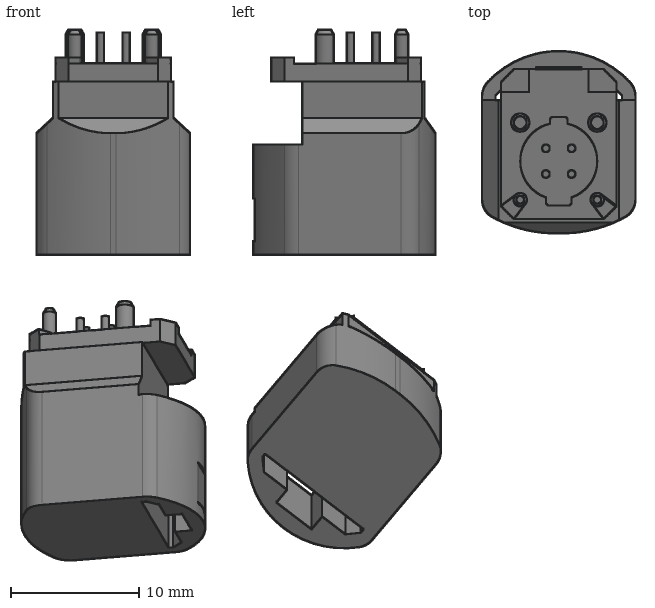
import cadquery as cq
import math


shelf_top = 8.62
bevel_bottom = 9.5
bevel_top = 10.7
block_top = 13.53
plate_top = 14.95
pad_top = 15.44
insert_top = plate_top + 0.05
pin_top = 17.39
post_top = 17.6

half_width = 6.0
back_y = 8.6
front_y = -5.65
back_radius = 7.57
front_radius = 10.2
front_flat_half = 0.23
corner_radius = 1.6

block_half_width = 4.72
block_front_y = -4.8
block_rear_y = 4.77

opening_half_width = 4.93
opening_back_y = 5.98
opening_chamfer = 0.85
notch_half_width = 1.76
notch_back_y = 7.32

recess_bottom = 1.07
recess_top = 4.4
recess_depth = 0.12

plate_half_width = 4.52
plate_front_y = -4.52
plate_back_y = 7.18
plate_chamfer = 1.02
rear_pad_inner_x = 2.32
rear_pad_front_y = 5.39
front_pad_slope_run = 0.07

insert_radius = 3.01
back_key_half_width = 0.69
front_key_half_width = 0.99
key_reach = 3.45
key_chamfer = 0.14

pin_diameter = 0.6
pin_offset = 1.0
post_offset = 3.01
rear_post_diameter = 1.43
front_post_diameter = 1.04
post_tip_inset = 0.21
post_tip_height = 0.39

SIDES = (-1, 1)
MARGIN = 1.76


def box(x0, x1, y0, y1, z0, z1):
    """Axis-aligned box given by its limits."""
    return cq.Workplane("XY").box(x1 - x0, y1 - y0, z1 - z0, centered=False).translate((x0, y0, z0))


def arc_drop(radius, distance):
    """Fall of an arc at a distance from its crown."""
    return radius - math.sqrt(radius**2 - distance**2)


def make_outer_body():
    """Housing outline raised to the block top, with rounded vertical corners."""
    front_run = half_width - front_flat_half
    front_corner_y = front_y + arc_drop(front_radius, front_run)
    front_mid_x = front_flat_half + front_run / 2
    front_mid_y = front_y + arc_drop(front_radius, front_run / 2)
    back_corner_y = back_y - arc_drop(back_radius, half_width)
    body = (
        cq.Workplane("XY")
        .moveTo(-front_flat_half, front_y)
        .lineTo(front_flat_half, front_y)
        .threePointArc((front_mid_x, front_mid_y), (half_width, front_corner_y))
        .lineTo(half_width, back_corner_y)
        .threePointArc((0, back_y), (-half_width, back_corner_y))
        .lineTo(-half_width, front_corner_y)
        .threePointArc((-front_mid_x, front_mid_y), (-front_flat_half, front_y))
        .close()
        .extrude(block_top)
    )
    return body.edges("|Z and (<X or >X)").fillet(corner_radius)


def bevel_section(plane, outer, inner):
    """Region outside the block and above the bevel, drawn across that bevel."""
    outside = outer + math.copysign(MARGIN, outer)
    return (
        cq.Workplane(plane)
        .moveTo(outer, bevel_bottom)
        .lineTo(inner, bevel_top)
        .lineTo(inner, block_top + MARGIN)
        .lineTo(outside, block_top + MARGIN)
        .lineTo(outside, bevel_bottom)
        .close()
    )


def make_opening():
    """Chamfered through opening with a notch in its back wall."""
    opening = box(-opening_half_width, opening_half_width, block_rear_y, opening_back_y, 0, shelf_top)
    opening = opening.edges("|Z and >Y").chamfer(opening_chamfer)
    notch = box(-notch_half_width, notch_half_width, block_rear_y, notch_back_y, 0, shelf_top)
    return opening.union(notch)


def make_housing():
    housing = make_outer_body()
    for side in SIDES:
        side_cut = bevel_section("XZ", side * half_width, side * block_half_width)
        housing = housing.cut(side_cut.extrude(back_y + MARGIN, both=True))
    front_cut = bevel_section("YZ", front_y, block_front_y)
    housing = housing.cut(front_cut.extrude(half_width + MARGIN, both=True))
    housing = housing.cut(
        box(-half_width, half_width, block_rear_y, back_y, shelf_top, block_top)
    )
    housing = housing.cut(make_opening())
    return housing.cut(
        box(-half_width, half_width, back_y - recess_depth, back_y, recess_bottom, recess_top)
    )


def make_plate_outline(top):
    """Chamfered plate outline from the block top up to the given height."""
    plate = box(-plate_half_width, plate_half_width, plate_front_y, plate_back_y, block_top, top)
    return plate.edges("|Z").chamfer(plate_chamfer)


def make_front_pad(side):
    """Pad tapering from the chamfered plate corner to the front post."""
    reach = front_post_diameter / 2 * math.sqrt(0.5)
    points = [
        (side * plate_half_width, plate_front_y + plate_chamfer),
        (side * (plate_half_width - plate_chamfer), plate_front_y),
        (side * (post_offset - reach), -post_offset - reach),
        (side * (post_offset + reach), -post_offset + reach),
    ]
    return cq.Workplane("XY").workplane(offset=block_top).polyline(points).close().extrude(pad_top - block_top)


def slope_rear_side(pad):
    """Lean the rear side of the +X front pad inward over its height above the plate."""
    middle_x = (plate_half_width + post_offset) / 2
    rear_edge = cq.NearestToPointSelector((middle_x, -post_offset, pad_top))
    return pad.faces(">Z").edges(rear_edge).chamfer(pad_top - plate_top, front_pad_slope_run)


def make_plate():
    plate = make_plate_outline(plate_top)
    full_height = make_plate_outline(pad_top)
    for side in SIDES:
        x0, x1 = sorted((side * rear_pad_inner_x, side * plate_half_width))
        rear_zone = box(x0, x1, rear_pad_front_y, plate_back_y, block_top, pad_top)
        plate = plate.union(full_height.intersect(rear_zone))
    plate = plate.union(make_front_pad(-1))
    return plate.union(slope_rear_side(make_front_pad(1)))


def make_insert():
    """Round insert with one key at the back and a wider one at the front."""
    insert = cylinder(0, 0, 2 * insert_radius, insert_top)
    back_key = box(-back_key_half_width, back_key_half_width, 0, key_reach, block_top, insert_top)
    front_key = box(-front_key_half_width, front_key_half_width, -key_reach, 0, block_top, insert_top)
    insert = insert.union(back_key.edges("|Z and >Y").chamfer(key_chamfer))
    return insert.union(front_key.edges("|Z and <Y").chamfer(key_chamfer))


def cylinder(x, y, diameter, top):
    """Upright cylinder standing on the block."""
    return (
        cq.Workplane("XY")
        .workplane(offset=block_top)
        .center(x, y)
        .circle(diameter / 2)
        .extrude(top - block_top)
    )


def make_post(x, y, diameter):
    post = cylinder(x, y, diameter, post_top)
    return post.faces(">Z").chamfer(post_tip_height, post_tip_inset)


result = make_housing().union(make_plate()).union(make_insert())
for side in SIDES:
    result = result.union(make_post(side * post_offset, post_offset, rear_post_diameter))
    result = result.union(make_post(side * post_offset, -post_offset, front_post_diameter))
    for row in SIDES:
        result = result.union(cylinder(side * pin_offset, row * pin_offset, pin_diameter, pin_top))